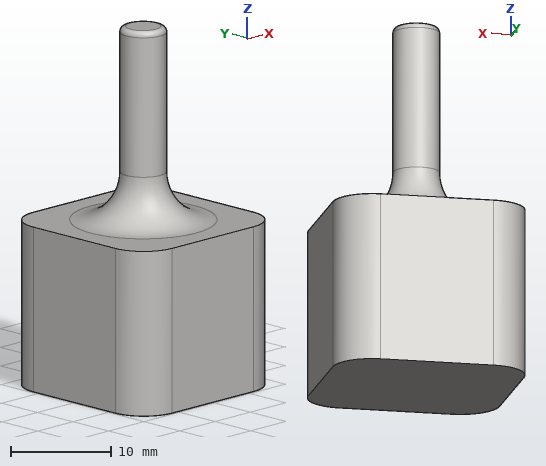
import cadquery as cq

total_height = 37.0

block_width = 19.5
block_height = 17.02
corner_radius = 4.0

pin_diameter = 4.7
pin_tip_radius = 0.6
pin_root_radius = 5.0


def make_block():
    """Square block standing on the XY plane."""
    block = cq.Workplane("XY").rect(block_width, block_width).extrude(block_height)
    return block.edges("|Z").fillet(corner_radius)


def make_pin():
    """Pin with a rounded tip and a concave flare that runs out on the block's top face."""
    pin_radius = pin_diameter / 2
    flare_radius = pin_radius + pin_root_radius
    flare_top = block_height + pin_root_radius
    pin = (
        cq.Workplane("XZ")
        .moveTo(0, block_height)
        .lineTo(flare_radius, block_height)
        .radiusArc((pin_radius, flare_top), pin_root_radius)
        .lineTo(pin_radius, total_height)
        .lineTo(0, total_height)
        .close()
        .revolve(360, (0, 0, 0), (0, 1, 0))
    )
    return pin.faces(">Z").edges().fillet(pin_tip_radius)


result = make_block().union(make_pin())